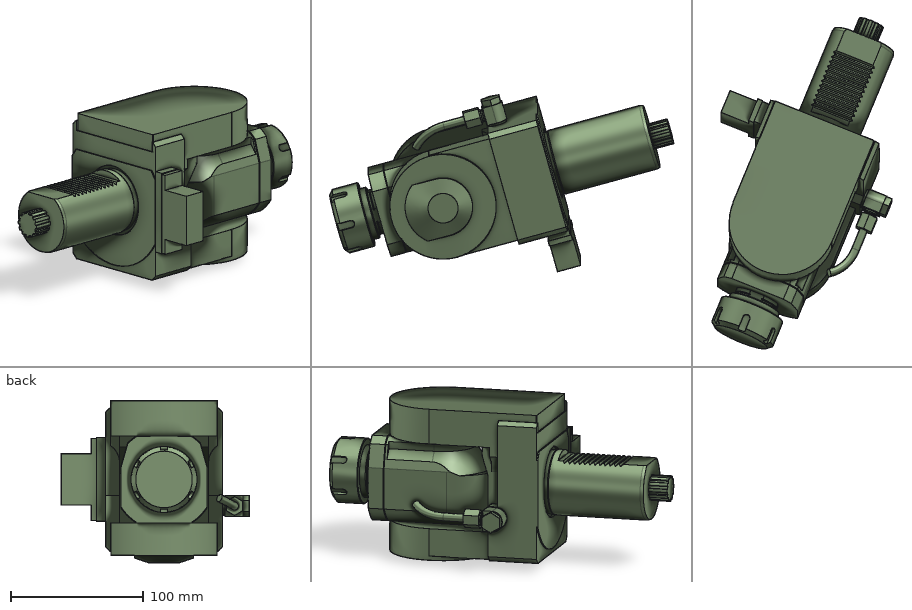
import cadquery as cq
import math


shank_radius = 25.0
shank_length = 77.4
shank_neck_radius = 48.7 / 2
shank_neck_length = 2.0
shank_neck_taper = 1.0
shank_chamfer_length = 2.4
shank_chamfer_depth = 0.7
rack_flat_height = 20.0
rack_flat_start = 8.0
rack_groove_start = 13.4
rack_groove_count = 12
rack_groove_pitch = 4.0
rack_groove_depth = 1.5
rack_groove_half_width = 1.4
spline_outer_radius = 9.8
spline_root_radius = 8.6
spline_length = 14.8
spline_tooth_count = 12
spline_tooth_width = 2.6
spline_tooth_blank_height = 1.1 * spline_outer_radius

block_half_width = 44.3
block_front = 1.0
block_upper_back = 31.8
block_lower_back = 39.0
block_step_height = -12.0
block_bottom = -55.0
block_bottom_chamfer = 4.0
ear_top = 54.2
ear_chamfer = 3.2
disc_radius = 51.2
disc_top = 31.8
seal_recess_radius = 27.0
seal_recess_depth = 2.0

pivot_y = 86.5
housing_radius = 40.3
housing_half_width = 40.5
housing_front = 1.8
housing_corner_chamfer = 0.7
housing_top = 59.8
top_plate_bottom = 46.4
fork_gap_half = 32.8
lower_arm_bottom = -54.0
pivot_disc_bottom = -57.4
web_half_width = 33.8
web_back = 42.0
cove_top = 25.6
cove_bottom = 13.0
rib_knee = 24.5
rib_left_back = 46.5
rib_left_base = 9.5
rib_right_back = 55.6
rib_right_base = 4.4

cover_bottom = -63.2
cover_half_width = 22.4
cover_flat_radius = 11.4
cover_cone_radius = 28.8

head_front = 136.3
head_half_width = 32.6
head_clearance = 0.4
head_plate_back = 124.5
head_seam_width = 0.6
head_seam_depth = 0.4
head_round_radius = 39.0
head_upper_corner_x = 27.6
head_facet_bottom = 10.1
waist_front = 122.0
waist_radius = 25.4
waist_knee = 24.0
waist_foot_radius = 37.7
waist_foot = 7.4

nose_radius = 17.6
nose_flat_distance = 16.7
nose_groove_depth = 0.3
nose_groove_width = 0.8
nose_groove_y = 139.5
collar_radius = 40 / 2
collar_back = 141.4
collar_chamfer = 0.7
nut_radius = 50 / 2
nut_back = 146.7
nut_front = 169.7
nut_front_radius = 21.4
nut_chamfer_length = 3.0
nut_back_chamfer = 0.6
nut_slot_count = 6
nut_slot_width = 5.5
nut_slot_end = 156.1
nut_slot_depth = 2.6

elbow_y = 31.6
elbow_z = -20.1
elbow_radius = 8.0
elbow_neck_radius = 14.5 / 2
elbow_inner_x = -46.0
elbow_outer_x = -60.0
elbow_hex_end_x = -64.7
pipe_x = -53.4
pipe_radius = 3.0
pipe_neck_radius = 9.8 / 2
pipe_groove_radius = 8.2 / 2
pipe_groove_start = 40.2
pipe_groove_end = 41.4
pipe_nut_start = 42.5
pipe_nut_end = 54.5
pipe_nut_flats = 12.4
pipe_bend_start = 71.0
pipe_bend_radius = 30.8
pipe_bend_angle = math.radians(54.5)
pipe_tilt = math.radians(28)

bracket_depth = 18.2
bracket_plate_end = 51.3
bracket_plate_half_height = 31.8
bracket_pad_end = 55.3
bracket_pad_half_height = 31.2
bracket_pad_inset = 0.8
bracket_end = 78.0
bracket_half_height = 19.5

hex_corner_factor = 2 / math.sqrt(3)


def block(x_range, y_range, z_range):
    """Box between the given low and high values on each axis."""
    size = [high - low for low, high in (x_range, y_range, z_range)]
    corner = (x_range[0], y_range[0], z_range[0])
    return cq.Workplane("XY").box(*size, centered=False).translate(corner)


def wide_block(half_width, y_range, z_range):
    """Box centred on X = 0."""
    return block((-half_width, half_width), y_range, z_range)


def y_cylinder(radius, y_start, y_end, x=0.0, z=0.0):
    plane = cq.Workplane("XZ", origin=(x, y_start, z))
    return plane.circle(radius).extrude(y_start - y_end)


def z_cylinder(radius, z_start, z_end, y):
    return cq.Workplane("XY", origin=(0, y, z_start)).circle(radius).extrude(z_end - z_start)


def spun_about_y(points):
    """Solid of revolution about the Y axis from (radius, y) points."""
    return cq.Workplane("XY").polyline(points).close().revolve(360, (0, 0, 0), (0, 1, 0))


def turned_copies(body, count):
    """Copies of a body evenly spaced around the Y axis."""
    copies = body
    for index in range(1, count):
        copies = copies.union(body.rotate((0, 0, 0), (0, 1, 0), index * 360 / count))
    return copies


def make_shank():
    taper_end = -(shank_neck_length + shank_neck_taper)
    shank = spun_about_y([
        (0, seal_recess_depth),
        (shank_neck_radius, seal_recess_depth),
        (shank_neck_radius, -shank_neck_length),
        (shank_radius, taper_end),
        (shank_radius, shank_chamfer_length - shank_length),
        (shank_radius - shank_chamfer_depth, -shank_length),
        (0, -shank_length),
    ])
    flat = wide_block(shank_radius, (-shank_length, -rack_flat_start), (rack_flat_height, shank_radius))
    shank = shank.cut(flat)
    for index in range(rack_groove_count):
        y = -rack_groove_start - index * rack_groove_pitch
        groove = (
            cq.Workplane("YZ")
            .moveTo(y - rack_groove_half_width, rack_flat_height)
            .lineTo(y + rack_groove_half_width, rack_flat_height)
            .lineTo(y, rack_flat_height - rack_groove_depth)
            .close()
            .extrude(shank_radius, both=True)
        )
        shank = shank.cut(groove)
    return shank


def make_spline():
    end = -shank_length - spline_length
    root = y_cylinder(spline_root_radius, -shank_length, end)
    tooth = wide_block(spline_tooth_width / 2, (end, -shank_length), (0, spline_tooth_blank_height))
    teeth = turned_copies(tooth, spline_tooth_count)
    return root.union(teeth.intersect(y_cylinder(spline_outer_radius, -shank_length, end)))


def make_flange():
    upper_depth = (block_front, block_upper_back)
    upper = wide_block(block_half_width, upper_depth, (block_step_height, top_plate_bottom))
    ears = wide_block(block_half_width, upper_depth, (top_plate_bottom, ear_top))
    ears = ears.edges("|Y and >Z").chamfer(ear_chamfer)
    plate_seat = wide_block(housing_half_width, upper_depth, (top_plate_bottom, ear_top))
    lower = wide_block(block_half_width, (block_front, block_lower_back), (block_bottom, block_step_height))
    lower = lower.edges("|Y and <Z").chamfer(block_bottom_chamfer)
    disc = y_cylinder(disc_radius, 0, block_front).intersect(
        wide_block(block_half_width, (0, block_front), (-disc_radius, disc_top))
    )
    flange = upper.union(ears.cut(plate_seat)).union(lower).union(disc)
    return flange.cut(y_cylinder(seal_recess_radius, 0, seal_recess_depth))


def make_arm(y_start, z_low, z_high):
    """Fork arm with a round end about the pivot axis."""
    straight = wide_block(housing_half_width, (y_start, pivot_y), (z_low, z_high))
    return straight.union(z_cylinder(housing_radius, z_low, z_high, pivot_y))


def make_rib():
    """Stiffening rib under the upper arm, deeper towards +X and sloping back to the web."""
    def section(back, base):
        return [
            (block_lower_back, fork_gap_half),
            (back, fork_gap_half),
            (back, rib_knee),
            (web_back, base),
            (block_lower_back, base),
        ]

    return (
        cq.Workplane("YZ", origin=(-web_half_width, 0, 0))
        .polyline(section(rib_left_back, rib_left_base))
        .close()
        .workplane(offset=2 * web_half_width)
        .polyline(section(rib_right_back, rib_right_base))
        .close()
        .loft(ruled=True)
    )


def make_coves():
    """Concave blends from the web out to the sides of the upper arm, tangent to the web."""
    rise = cove_top - cove_bottom
    spread = housing_half_width - web_half_width
    cove_radius = (rise**2 + spread**2) / (2 * spread)
    return (
        cq.Workplane("XZ", origin=(0, block_upper_back, 0))
        .moveTo(-housing_half_width, fork_gap_half)
        .lineTo(-housing_half_width, cove_top)
        .radiusArc((-web_half_width, cove_bottom), cove_radius)
        .lineTo(web_half_width, cove_bottom)
        .radiusArc((housing_half_width, cove_top), cove_radius)
        .lineTo(housing_half_width, fork_gap_half)
        .close()
        .extrude(block_upper_back - block_lower_back)
    )


def make_fork():
    top_plate = make_arm(housing_front, top_plate_bottom, housing_top)
    top_plate = top_plate.edges("|Z and <Y").chamfer(housing_corner_chamfer)
    upper_arm = make_arm(block_front, fork_gap_half, top_plate_bottom)
    lower_arm = make_arm(block_front, lower_arm_bottom, -fork_gap_half)
    pivot_disc = z_cylinder(housing_radius, pivot_disc_bottom, lower_arm_bottom, pivot_y)
    web_front = block_front + seal_recess_depth
    web = wide_block(web_half_width, (web_front, web_back), (-fork_gap_half, fork_gap_half))
    fork = top_plate.union(upper_arm).union(lower_arm).union(pivot_disc)
    return fork.union(web).union(make_coves()).union(make_rib())


def make_cover():
    """Shallow cone under the pivot, trimmed to a U outline that opens towards +Y."""
    cone = (
        cq.Workplane("XZ")
        .moveTo(0, pivot_disc_bottom)
        .lineTo(cover_cone_radius, pivot_disc_bottom)
        .lineTo(cover_flat_radius, cover_bottom)
        .lineTo(0, cover_bottom)
        .close()
        .revolve(360, (0, 0, 0), (0, 1, 0))
        .translate((0, pivot_y, 0))
    )
    z_range = (cover_bottom, pivot_disc_bottom)
    outline = z_cylinder(cover_half_width, *z_range, pivot_y).union(
        wide_block(cover_half_width, (pivot_y, pivot_y + cover_cone_radius), z_range)
    )
    return cone.intersect(outline)


def make_waist_cutter():
    """Material removed around the narrow upper part of the head."""
    half_profile = [
        (0, waist_foot),
        (waist_foot_radius, waist_foot),
        (waist_radius, waist_knee),
        (waist_radius, fork_gap_half),
        (0, fork_gap_half),
    ]
    turned = cq.Workplane("XZ").polyline(half_profile).close().revolve(360, (0, 0, 0), (0, 1, 0))
    straight = cq.Workplane("XZ").polyline(half_profile).close().extrude(pivot_y - waist_front)
    kept = turned.union(straight).union(straight.mirror("YZ")).translate((0, pivot_y, 0))
    envelope = wide_block(housing_half_width, (web_back, waist_front), (waist_foot, fork_gap_half))
    return envelope.cut(kept)


def head_section(y_start, y_end, inset=0.0):
    """Head cross-section: flat sides with corners rounded about the spindle axis and two upper facets."""
    side = head_half_width - inset
    roof = fork_gap_half - inset
    round_radius = head_round_radius - inset
    roof_half_width = math.sqrt(round_radius**2 - roof**2)
    side_half_height = math.sqrt(round_radius**2 - side**2)
    corner_x = head_upper_corner_x - inset
    corner_z = math.sqrt(round_radius**2 - corner_x**2)
    return (
        cq.Workplane("XZ", origin=(0, y_start, 0))
        .moveTo(-roof_half_width, roof)
        .lineTo(roof_half_width, roof)
        .radiusArc((corner_x, corner_z), round_radius)
        .lineTo(side, head_facet_bottom)
        .lineTo(side, -side_half_height)
        .radiusArc((roof_half_width, -roof), round_radius)
        .lineTo(-roof_half_width, -roof)
        .radiusArc((-side, -side_half_height), round_radius)
        .lineTo(-side, head_facet_bottom)
        .lineTo(-corner_x, corner_z)
        .radiusArc((-roof_half_width, roof), round_radius)
        .close()
        .extrude(y_start - y_end)
    )


def make_head():
    round_back_y = web_back + head_clearance + head_half_width
    seam_back = head_plate_back - head_seam_width
    plan = z_cylinder(head_half_width, -fork_gap_half, fork_gap_half, round_back_y).union(
        wide_block(head_half_width, (round_back_y, head_front), (-fork_gap_half, fork_gap_half))
    )
    body = head_section(web_back, seam_back).intersect(plan).cut(make_waist_cutter())
    seam = head_section(seam_back, head_plate_back, head_seam_depth)
    return body.union(seam).union(head_section(head_plate_back, head_front))


def make_collet_nut():
    groove_start = nose_groove_y - nose_groove_width / 2
    groove_end = nose_groove_y + nose_groove_width / 2
    nose = y_cylinder(nose_radius, head_front, groove_start)
    nose = nose.union(y_cylinder(nose_radius - nose_groove_depth, groove_start, groove_end))
    nose = nose.union(y_cylinder(nose_radius, groove_end, collar_back))
    nose = nose.intersect(
        wide_block(nose_flat_distance, (head_front, collar_back), (-nose_flat_distance, nose_flat_distance))
    )
    collar = y_cylinder(collar_radius, collar_back, nut_back).faces("<Y").chamfer(collar_chamfer)
    nut = spun_about_y([
        (0, nut_back),
        (nut_radius - nut_back_chamfer, nut_back),
        (nut_radius, nut_back + nut_back_chamfer),
        (nut_radius, nut_front - nut_chamfer_length),
        (nut_front_radius, nut_front),
        (0, nut_front),
    ])
    half_slot = nut_slot_width / 2
    slot_floor = nut_radius - nut_slot_depth
    slot_start = nut_slot_end + half_slot
    slot = wide_block(half_slot, (slot_start, nut_front), (slot_floor, nut_radius))
    slot = slot.union(z_cylinder(half_slot, slot_floor, nut_radius, slot_start))
    return nose.union(collar).union(nut.cut(turned_copies(slot, nut_slot_count)))


def make_elbow():
    plane = cq.Workplane("YZ", origin=(elbow_inner_x, elbow_y, elbow_z))
    length = elbow_outer_x - elbow_inner_x
    barrel = plane.circle(elbow_radius).extrude(length)
    square_side = block(
        (elbow_outer_x, elbow_inner_x),
        (elbow_y, block_lower_back),
        (elbow_z - elbow_radius, elbow_z + elbow_radius),
    )
    neck = plane.circle(elbow_neck_radius).extrude(-block_half_width - elbow_inner_x, both=True)
    hex_head = (
        cq.Workplane("YZ", origin=(elbow_outer_x, elbow_y, elbow_z))
        .transformed(rotate=(0, 0, 90))
        .polygon(6, 2 * elbow_radius)
        .extrude(elbow_hex_end_x - elbow_outer_x)
    )
    return barrel.union(square_side).union(neck).union(hex_head)


def make_pipe():
    neck = y_cylinder(pipe_neck_radius, block_lower_back, pipe_groove_start, pipe_x, elbow_z)
    groove = y_cylinder(pipe_groove_radius, pipe_groove_start, pipe_groove_end, pipe_x, elbow_z)
    collar = y_cylinder(pipe_neck_radius, pipe_groove_end, pipe_nut_start, pipe_x, elbow_z)
    nut = (
        cq.Workplane("XZ", origin=(pipe_x, pipe_nut_start, elbow_z))
        .transformed(rotate=(0, 0, 90))
        .polygon(6, pipe_nut_flats * hex_corner_factor)
        .extrude(pipe_nut_start - pipe_nut_end)
    )

    def bend_point(angle):
        along = pipe_bend_radius * math.sin(angle)
        across = pipe_bend_radius * (1 - math.cos(angle))
        x = pipe_x + across * math.cos(pipe_tilt)
        z = elbow_z + across * math.sin(pipe_tilt)
        return cq.Vector(x, pipe_bend_start + along, z)

    start = cq.Vector(pipe_x, pipe_nut_end, elbow_z)
    straight = cq.Edge.makeLine(start, bend_point(0))
    bend = cq.Edge.makeThreePointArc(
        bend_point(0),
        bend_point(pipe_bend_angle / 2),
        bend_point(pipe_bend_angle),
    )
    path = cq.Wire.assembleEdges([straight, bend])
    pipe = cq.Workplane("XZ", origin=start.toTuple()).circle(pipe_radius).sweep(path)
    return neck.union(groove).union(collar).union(nut).union(pipe)


def make_bracket():
    def step(x_range, half_height, inset=0.0):
        return block(x_range, (inset, bracket_depth - inset), (-half_height, half_height))

    plate = step((block_half_width, bracket_plate_end), bracket_plate_half_height, bracket_pad_inset)
    pad = step((bracket_plate_end, bracket_pad_end), bracket_pad_half_height)
    key = step((bracket_pad_end, bracket_end), bracket_half_height)
    return plate.union(pad).union(key)


result = (
    make_flange()
    .union(make_fork())
    .union(make_shank())
    .union(make_spline())
    .union(make_cover())
    .union(make_head())
    .union(make_collet_nut())
    .union(make_elbow())
    .union(make_pipe())
    .union(make_bracket())
)